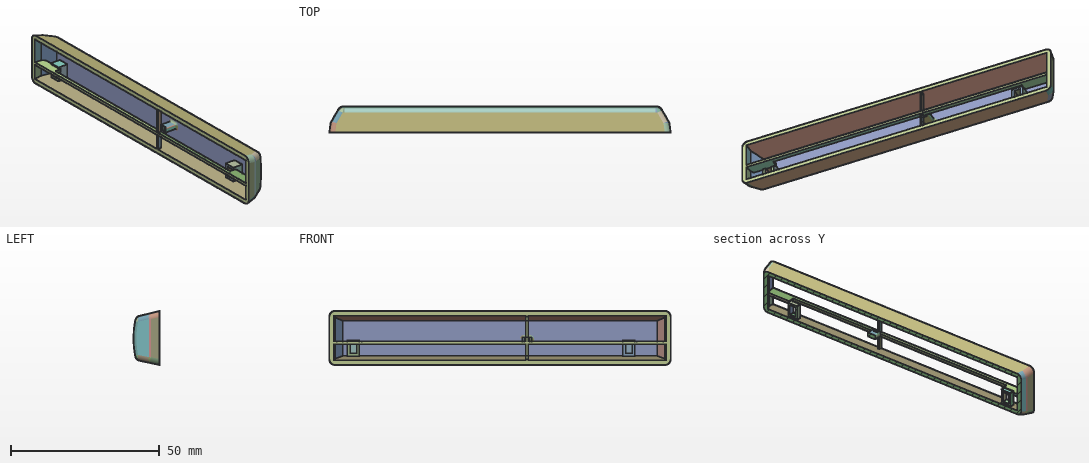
import cadquery as cq
import math

length = 115.0
depth = 8.9
height = 18.3
top_draft = 14.0
bottom_draft = 12.0
end_rim_draft = 8.0
end_back_draft = 30.0
end_bend_depth = 3.3
bend_radius = 1.8
edge_radius = 2.1
back_crown = 0.9

rim_end_wall = 1.6
rim_side_wall = 1.6
floor_depth = 7.1
cavity_bend_depth = 2.5

long_rib_top = -1.2
long_rib_width = 1.0
cross_rib_x = 9.1
cross_rib_width = 0.7
rib_depth = 1.4
deep_rib_depth = 3.7
deep_rib_left_end = -46.6
deep_rib_right_end = 46.0

socket_centers_x = (-49.3, 43.4)
socket_width = 4.0
socket_height = 5.3
socket_length = 3.8
socket_center_z = -3.5
socket_wall = 0.9

post_front = 2.2
post_width = 3.3
post_top = 0.2
post_height = 1.7
post_edge_radius = 0.3
post_base_radius = 0.7
post_slot_width = 1.7
post_slot_depth = 0.7


def inset(distance, draft):
    """Sideways shift of a wall leaning by draft degrees over a distance along Y."""
    return distance * math.tan(math.radians(draft))


def block(x_min, x_max, y_min, y_max, z_min, z_max):
    return (
        cq.Workplane("XY")
        .box(x_max - x_min, y_max - y_min, z_max - z_min, centered=False)
        .translate((x_min, y_min, z_min))
    )


def centered_block(center_x, center_z, width, block_height, front):
    """Block standing on the cavity floor and reaching forward to Y = front."""
    return block(
        center_x - width / 2,
        center_x + width / 2,
        front,
        floor_depth,
        center_z - block_height / 2,
        center_z + block_height / 2,
    )


def tapered_prism(rim_x, rim_z, end_points, crown=0.0):
    """Symmetric body with ends following (x, y) end_points and drafted long walls.

    The long edges of the back lie crown short of its middle, joined by an arc.
    """
    back_depth = end_points[-1][1]
    edge_depth = back_depth - crown
    mirrored = [(-x, y) for x, y in reversed(end_points)]
    plan = (
        cq.Workplane("XY")
        .polyline([(rim_x, 0), *end_points, *mirrored, (-rim_x, 0)])
        .close()
        .extrude(rim_z, both=True)
    )
    back_top = rim_z - inset(edge_depth, top_draft)
    back_bottom = inset(edge_depth, bottom_draft) - rim_z
    section = cq.Workplane("YZ").moveTo(0, -rim_z).lineTo(edge_depth, back_bottom)
    if crown > 0:
        crown_point = (back_depth, (back_top + back_bottom) / 2)
        section = section.threePointArc(crown_point, (edge_depth, back_top))
    else:
        section = section.lineTo(edge_depth, back_top)
    section = section.lineTo(0, rim_z).close().extrude(rim_x, both=True)
    return plan.intersect(section)


def make_outer_body():
    bend_x = length / 2 - inset(end_bend_depth, end_rim_draft)
    back_x = bend_x - inset(depth - end_bend_depth, end_back_draft)
    ends = [(bend_x, end_bend_depth), (back_x, depth)]
    body = tapered_prism(length / 2, height / 2, ends, back_crown)
    body = body.edges("not(|X or |Z or >Y)").fillet(edge_radius)
    for side in (-1, 1):
        bend_edge = cq.selectors.NearestToPointSelector((side * bend_x, end_bend_depth, 0))
        body = body.edges(bend_edge).fillet(bend_radius)
    return body.faces(">Y").edges().fillet(edge_radius)


def make_cavity():
    rim_x = length / 2 - rim_end_wall
    bend_x = rim_x - inset(cavity_bend_depth, end_rim_draft)
    floor_x = bend_x - inset(floor_depth - cavity_bend_depth, end_back_draft)
    ends = [(bend_x, cavity_bend_depth), (floor_x, floor_depth)]
    return tapered_prism(rim_x, height / 2 - rim_side_wall, ends)


def make_ribs():
    half = length / 2
    rib_bottom = long_rib_top - long_rib_width
    ribs = block(-half, half, 0, rib_depth, rib_bottom, long_rib_top)
    ribs = ribs.union(block(-half, deep_rib_left_end, 0, deep_rib_depth, rib_bottom, long_rib_top))
    ribs = ribs.union(block(deep_rib_right_end, half, 0, deep_rib_depth, rib_bottom, long_rib_top))
    cross_left = cross_rib_x - cross_rib_width / 2
    return ribs.union(
        block(cross_left, cross_left + cross_rib_width, 0, rib_depth, -height / 2, height / 2)
    )


def make_socket(center_x):
    front = floor_depth - socket_length
    outer = centered_block(center_x, socket_center_z, socket_width, socket_height, front)
    hole = centered_block(
        center_x,
        socket_center_z,
        socket_width - 2 * socket_wall,
        socket_height - 2 * socket_wall,
        front,
    )
    return outer.cut(hole)


def make_post():
    center_z = post_top - post_height / 2
    stem = centered_block(cross_rib_x, center_z, post_width, post_height, post_front)
    stem = stem.edges("|Y").fillet(post_edge_radius)

    pad_width = post_width + 4 * post_base_radius
    pad_height = post_height + 4 * post_base_radius
    pad_thickness = (depth - floor_depth) / 4
    pad_front = floor_depth - pad_thickness
    pad = centered_block(cross_rib_x, center_z, pad_width, pad_height, pad_front)
    post = stem.union(pad.translate((0, pad_thickness, 0)))
    half_x = post_width / 2 + post_base_radius
    half_z = post_height / 2 + post_base_radius
    base_edges = cq.selectors.BoxSelector(
        (cross_rib_x - half_x, floor_depth - pad_thickness, center_z - half_z),
        (cross_rib_x + half_x, floor_depth + pad_thickness, center_z + half_z),
    )
    post = post.edges(base_edges).fillet(post_base_radius)

    slot_left = cross_rib_x - post_slot_width / 2
    slot = block(
        slot_left,
        slot_left + post_slot_width,
        post_front,
        post_front + post_slot_depth,
        post_top - post_height,
        post_top,
    )
    return post.cut(slot)


cavity = make_cavity()
shell = make_outer_body().cut(cavity)
shell = shell.union(make_post())
for socket_x in socket_centers_x:
    shell = shell.union(make_socket(socket_x))
result = shell.union(make_ribs().intersect(cavity))